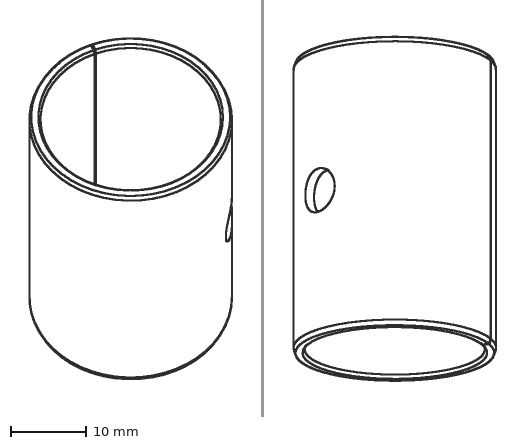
import cadquery as cq
import math

outer_diameter = 27.0
wall = 1.5
length = 40.0

outer_chamfer_length = 0.7
outer_chamfer_angle = 20.0
inner_chamfer_length = 0.5
inner_chamfer_angle = 30.0

split_angle = 1.0

oil_hole_diameter = 6.0
oil_hole_angle_from_split = 120.0

outer_radius = outer_diameter / 2
inner_radius = outer_radius - wall
oil_hole_angle = 180 - split_angle - oil_hole_angle_from_split
oil_hole_height = length / 2
outer_chamfer_depth = outer_chamfer_length * math.tan(math.radians(outer_chamfer_angle))
inner_chamfer_depth = inner_chamfer_length * math.tan(math.radians(inner_chamfer_angle))


def make_bush():
    """Revolve the chamfered wall section about Z from -X, stopping short to leave the split open."""
    section = [
        (inner_radius, inner_chamfer_length),
        (inner_radius + inner_chamfer_depth, 0),
        (outer_radius - outer_chamfer_depth, 0),
        (outer_radius, outer_chamfer_length),
        (outer_radius, length - outer_chamfer_length),
        (outer_radius - outer_chamfer_depth, length),
        (inner_radius + inner_chamfer_depth, length),
        (inner_radius, length - inner_chamfer_length),
    ]
    section_plane = cq.Plane(origin=(0, 0, 0), xDir=(-1, 0, 0), normal=(0, 1, 0))
    profile = cq.Workplane(section_plane).polyline(section).close()
    return profile.revolve(360 - split_angle, (0, 0, 0), (0, 1, 0))


def make_oil_hole():
    """Radial cylinder from the axis out through one side of the wall."""
    cylinder = cq.Workplane("YZ").circle(oil_hole_diameter / 2).extrude(outer_diameter)
    return cylinder.rotate((0, 0, 0), (0, 0, 1), oil_hole_angle).translate((0, 0, oil_hole_height))


result = make_bush().cut(make_oil_hole())